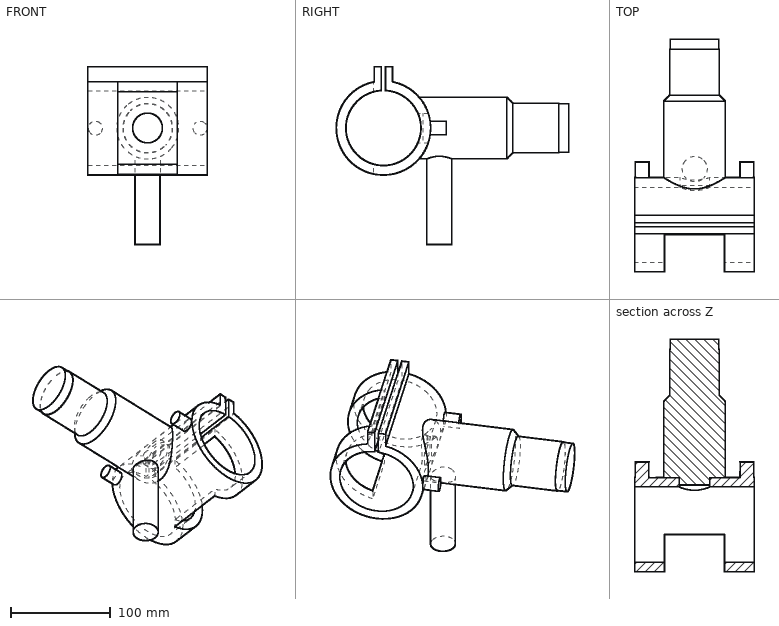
import cadquery as cq

TOTAL_LENGTH = 233.5
TOTAL_HEIGHT = 178.6

CLAMP_WIDTH = 120.0
CLAMP_RADIUS = 47.5
BORE_RADIUS = 37.5
EAR_TOP = 61.6
EAR_THICKNESS = 7.2
SLIT_WIDTH = 4.0
WINDOW_WIDTH = CLAMP_WIDTH / 2
WINDOW_FACE_Y = -10.0

PEG_RADIUS = 7.0
PEG_SPACING = 105.0
PEG_END_Y = 63.0

SPIGOT_RADIUS = 15.0
SPIGOT_END_Y = 39.7
BODY_RADIUS = 31.0
NECK_RADIUS = 25.0
CONE_LENGTH = BODY_RADIUS - NECK_RADIUS
TIP_RADIUS = 24.5
TIP_LENGTH = 10.0
NECK_AND_TIP_LENGTH = 56.0
HANDLE_END_Y = TOTAL_LENGTH - CLAMP_RADIUS
TIP_START_Y = HANDLE_END_Y - TIP_LENGTH
NECK_START_Y = HANDLE_END_Y - NECK_AND_TIP_LENGTH
CONE_START_Y = NECK_START_Y - CONE_LENGTH

STEM_RADIUS = 12.5
STEM_Y = 56.0
STEM_BOTTOM = EAR_TOP - TOTAL_HEIGHT


def rod_x(radius, length):
    """Cylinder along X, centred on the origin."""
    return cq.Workplane("YZ", origin=(-length / 2, 0, 0)).circle(radius).extrude(length)


def rod_y(radius, start_y, end_y, x=0):
    """Cylinder along Y between two positions."""
    return cq.Workplane("XZ", origin=(x, start_y, 0)).circle(radius).extrude(start_y - end_y)


def spigot():
    """Flat round end of the handle, sitting just below the surface of the bore."""
    return rod_y(SPIGOT_RADIUS, SPIGOT_END_Y, CONE_START_Y)


def spigot_hole():
    """Hole through the back wall of the ring that takes the spigot."""
    return rod_y(SPIGOT_RADIUS, 0, CONE_START_Y)


def ears():
    """Block on top of the ring; the slit divides it into two ears."""
    depth = 2 * EAR_THICKNESS + SLIT_WIDTH
    return cq.Workplane("XY").box(CLAMP_WIDTH, depth, EAR_TOP, centered=(True, True, False))


def slit():
    return cq.Workplane("XY").box(CLAMP_WIDTH, SLIT_WIDTH, EAR_TOP, centered=(True, True, False))


def window():
    """Opening through the front wall, behind which only the back of the ring remains."""
    depth = CLAMP_RADIUS + WINDOW_FACE_Y
    center_y = WINDOW_FACE_Y - depth / 2
    return cq.Workplane("XY").box(WINDOW_WIDTH, depth, 2 * CLAMP_RADIUS).translate((0, center_y, 0))


def make_clamp():
    clamp = rod_x(CLAMP_RADIUS, CLAMP_WIDTH).union(ears())
    for side in (-1, 1):
        clamp = clamp.union(rod_y(PEG_RADIUS, 0, PEG_END_Y, side * PEG_SPACING / 2))
    clamp = clamp.cut(rod_x(BORE_RADIUS, CLAMP_WIDTH))
    return clamp.cut(slit()).cut(window()).cut(spigot_hole())


def make_handle():
    barrel = (
        cq.Workplane("XY")
        .moveTo(0, 0)
        .lineTo(BODY_RADIUS, 0)
        .lineTo(BODY_RADIUS, CONE_START_Y)
        .lineTo(NECK_RADIUS, NECK_START_Y)
        .lineTo(NECK_RADIUS, TIP_START_Y)
        .lineTo(TIP_RADIUS, TIP_START_Y)
        .lineTo(TIP_RADIUS, HANDLE_END_Y)
        .lineTo(0, HANDLE_END_Y)
        .close()
        .revolve(360, (0, 0, 0), (0, 1, 0))
    )
    stem = cq.Workplane("XY", origin=(0, STEM_Y, 0)).circle(STEM_RADIUS).extrude(STEM_BOTTOM)
    saddled = barrel.union(stem).cut(rod_x(CLAMP_RADIUS, CLAMP_WIDTH))
    return saddled.union(spigot())


clamp = make_clamp()
handle = make_handle()
result = cq.Compound.makeCompound([clamp.solids().val(), handle.solids().val()])